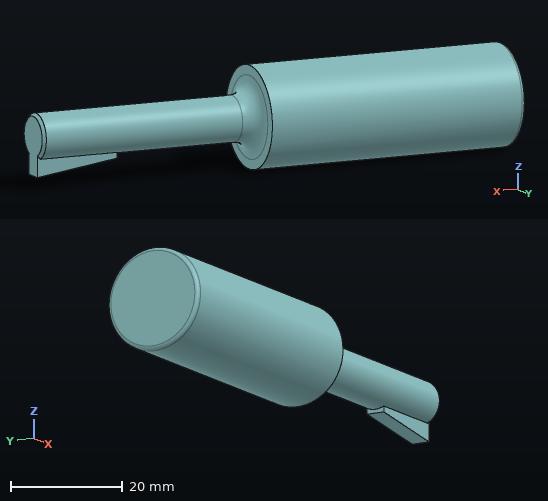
import cadquery as cq

total_length = 94.0
body_diameter = 19.1
body_length = 50.75
shank_diameter = 8.55

body_edge_radius = 0.75
neck_radius = 3.4
tip_chamfer = 0.6

blade_length = 16.0
blade_thickness = 3.6
blade_heel_depth = 5.0
blade_tip_depth = 7.2

body_radius = body_diameter / 2
shank_radius = shank_diameter / 2


def make_turned_tool():
    """Body, concave neck and shank, revolved about the X axis."""
    neck_end = body_length + neck_radius
    neck_center_radius = shank_radius + neck_radius
    half_profile = (
        cq.Workplane("XZ")
        .moveTo(0, 0)
        .lineTo(0, body_radius - body_edge_radius)
        .radiusArc((body_edge_radius, body_radius), body_edge_radius)
        .lineTo(body_length, body_radius)
        .lineTo(body_length, neck_center_radius)
        .radiusArc((neck_end, shank_radius), -neck_radius)
        .lineTo(total_length - tip_chamfer, shank_radius)
        .lineTo(total_length, shank_radius - tip_chamfer)
        .lineTo(total_length, 0)
        .close()
    )
    return half_profile.revolve(360, (0, 0, 0), (1, 0, 0))


def make_blade():
    """Tapered plate centred on the XZ plane, rooted at the shank axis."""
    blade_start = total_length - blade_length
    outline = [
        (blade_start, 0),
        (total_length, 0),
        (total_length, -blade_tip_depth),
        (blade_start, -blade_heel_depth),
    ]
    return cq.Workplane("XZ").polyline(outline).close().extrude(blade_thickness / 2, both=True)


result = make_turned_tool().union(make_blade())